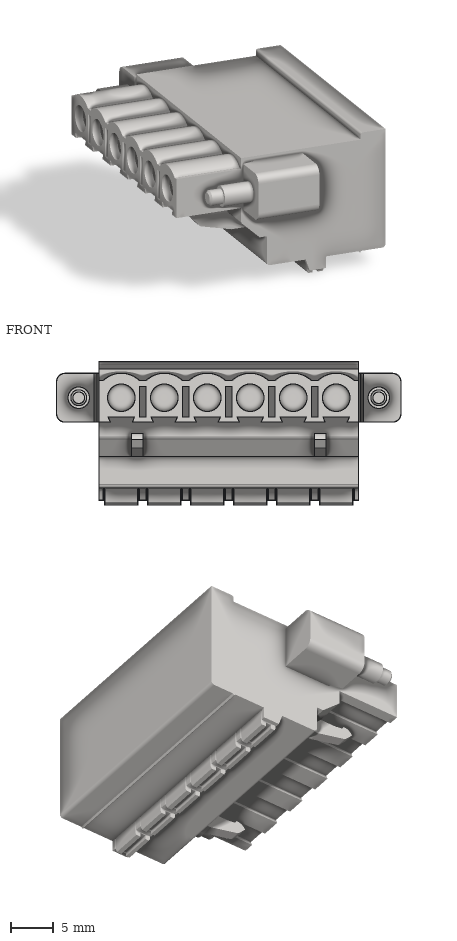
import cadquery as cq


pole_count = 6
pole_pitch = 5.0
pole_xs = [(i - (pole_count - 1) / 2) * pole_pitch for i in range(pole_count)]
gap_xs = [(i - pole_count / 2) * pole_pitch for i in range(1, pole_count)]

half_width = 15.1
back_y = 18.35
top_z = 3.35
lip_top_z = 4.2
total_height = 16.7
lip_front_y = 15.2
lip_round = 0.25
bottom_z = -10.5
lower_front_y = 3.25
ledge_z = -6.85
slope_top_z = -4.7
slope_back_y = 2.35
bottom_round = 0.4
slope_round = 0.3
bead_y = 15.1
bead_height = 0.2

plug_length = 8.25
plug_half_height = 2.85
saddle_z = 2.0
arch_half_width = 2.12
hole_diameter = 3.2
hole_depth = 1.0
slot_width = 0.8
slot_top_z = 1.3
recess_z = -2.25
notch_top_width = 3.05
notch_bottom_width = 2.55

flange_outer_x = 20.05
flange_length = 7.75
flange_round = 1.0
relief_front_x = 15.7
relief_back_x = 15.35
relief_taper_y = 1.4
relief_end_y = 1.6
screw_x = 17.45
shank_diameter = 2.5
shank_length = 3.65
tip_diameter = 1.85
tip_end = 5.35
tip_chamfer = 0.25

latch_x = 10.65
latch_width = 1.35
latch_top_z = -4.65
latch_taper_y = 0.4
latch_bend = (-2.1, latch_top_z)
hook_foot = (-3.1, -4.5)
hook_top = (-3.3, -4.17)
hook_crown = (-4.0, -4.33)
hook_tip = (-4.5, -4.87)
hook_underside = (-3.55, -5.88)
hook_underside_round = 0.4

foot_width = 3.87
foot_front_y = 8.7
foot_back_y = 10.8
foot_base_z = -11.95
foot_bottom_z = lip_top_z - total_height
foot_chamfer_height = 0.25
foot_chamfer_depth = 0.15
front_toe_width = 0.65
back_toe_width = 0.75
rib_front_y = 8.2
rib_clearance = 0.15
overlap = 0.2


def side_extrusion(points, x_start, x_end):
    """Extrude a (Y, Z) outline from x_start to x_end."""
    return cq.Workplane("YZ", origin=(x_start, 0, 0)).polyline(points).close().extrude(x_end - x_start)


def front_cylinder(x, diameter, y_front, y_back):
    """Cylinder along Y on the pole axis level."""
    plane = cq.Workplane("XZ", origin=(x, y_back, 0))
    return plane.circle(diameter / 2).extrude(y_back - y_front)


def make_housing():
    outline = [
        (0, top_z),
        (0, slope_top_z),
        (slope_back_y, ledge_z),
        (lower_front_y, ledge_z),
        (lower_front_y, bottom_z),
        (back_y, bottom_z),
        (back_y, lip_top_z),
        (lip_front_y, lip_top_z),
        (lip_front_y, top_z),
    ]
    housing = side_extrusion(outline, -half_width, half_width)
    rounded_edges = [
        (lip_front_y, lip_top_z, lip_round),
        (0, slope_top_z, slope_round),
        (lower_front_y, bottom_z, bottom_round),
        (back_y, bottom_z, bottom_round),
    ]
    for y, z, radius in rounded_edges:
        edge = cq.selectors.NearestToPointSelector((0, y, z))
        housing = housing.edges(edge).fillet(radius)
    bead = [
        (bead_y - bead_height, bottom_z),
        (bead_y, bottom_z - bead_height),
        (bead_y + bead_height, bottom_z),
        (bead_y, bottom_z + bead_height),
    ]
    return housing.union(side_extrusion(bead, -half_width, half_width))


def make_plug():
    """Pole row with an arch, a blind hole and a dovetail notch per pole."""
    outline = cq.Workplane("XZ", origin=(0, overlap, 0))
    outline = outline.moveTo(-half_width, -plug_half_height).lineTo(-half_width, saddle_z)
    for x in pole_xs:
        outline = outline.lineTo(x - arch_half_width, saddle_z)
        outline = outline.threePointArc((x, plug_half_height), (x + arch_half_width, saddle_z))
    outline = outline.lineTo(half_width, saddle_z).lineTo(half_width, -plug_half_height).close()
    plug = outline.extrude(plug_length + overlap)

    for x in pole_xs:
        plug = plug.cut(front_cylinder(x, hole_diameter, -plug_length, hole_depth - plug_length))
        notch = [
            (x - notch_top_width / 2, recess_z),
            (x + notch_top_width / 2, recess_z),
            (x + notch_bottom_width / 2, -plug_half_height),
            (x - notch_bottom_width / 2, -plug_half_height),
        ]
        plug = plug.cut(cq.Workplane("XZ").polyline(notch).close().extrude(plug_length))

    slot_height = slot_top_z - recess_z
    for x in gap_xs:
        slot_plane = cq.Workplane("XZ", origin=(x, 0, recess_z + slot_height / 2))
        plug = plug.cut(slot_plane.rect(slot_width, slot_height).extrude(plug_length))
    return plug


def make_flange():
    """Flange and captive screw on the +X end."""
    outline = [
        (half_width - overlap, flange_length),
        (flange_outer_x, flange_length),
        (flange_outer_x, 0),
        (relief_front_x, 0),
        (relief_back_x, relief_taper_y),
        (half_width, relief_end_y),
        (half_width - overlap, relief_end_y),
    ]
    plane = cq.Workplane("XY", origin=(0, 0, -plug_half_height))
    flange = plane.polyline(outline).close().extrude(2 * plug_half_height)
    flange = flange.faces(">X").edges("|Y").fillet(flange_round)
    shank = front_cylinder(screw_x, shank_diameter, -shank_length, overlap)
    tip = front_cylinder(screw_x, tip_diameter, -tip_end, overlap)
    tip = tip.faces("<Y").chamfer(tip_chamfer)
    return flange.union(shank).union(tip)


def make_latch(x):
    """Arm reaching forward from the sloped underside to a round-backed hook."""
    root_y = slope_back_y + overlap
    arm = cq.Workplane("YZ", origin=(x - latch_width / 2, 0, 0))
    arm = arm.moveTo(root_y, ledge_z).lineTo(root_y, latch_top_z).lineTo(*latch_bend)
    arm = arm.lineTo(*hook_foot).lineTo(*hook_top)
    arm = arm.threePointArc(hook_crown, hook_tip)
    arm = arm.lineTo(*hook_underside).lineTo(latch_taper_y, ledge_z).close()
    arm = arm.extrude(latch_width)
    underside_edge = cq.selectors.NearestToPointSelector((x, *hook_underside))
    return arm.edges(underside_edge).fillet(hook_underside_round)


def make_foot(x):
    """Block with two chamfered toes under one pole."""
    outline = [
        (foot_front_y, bottom_z + overlap),
        (foot_front_y, foot_bottom_z + foot_chamfer_height),
        (foot_front_y + foot_chamfer_depth, foot_bottom_z),
        (foot_front_y + front_toe_width, foot_bottom_z),
        (foot_front_y + front_toe_width, foot_base_z),
        (foot_back_y - back_toe_width, foot_base_z),
        (foot_back_y - back_toe_width, foot_bottom_z),
        (foot_back_y - foot_chamfer_depth, foot_bottom_z),
        (foot_back_y, foot_bottom_z + foot_chamfer_height),
        (foot_back_y, bottom_z + overlap),
    ]
    return side_extrusion(outline, x - foot_width / 2, x + foot_width / 2)


def make_rib(x_start, x_end):
    """Sloped rib between two feet, or at an end of the row."""
    outline = [
        (rib_front_y, bottom_z),
        (foot_front_y, foot_base_z),
        (foot_back_y, foot_base_z),
        (foot_back_y, bottom_z + overlap),
        (rib_front_y, bottom_z + overlap),
    ]
    return side_extrusion(outline, x_start, x_end)


result = make_housing().union(make_plug())

right_flange = make_flange()
result = result.union(right_flange).union(right_flange.mirror("YZ"))

for latch_center_x in (-latch_x, latch_x):
    result = result.union(make_latch(latch_center_x))

for pole_x in pole_xs:
    result = result.union(make_foot(pole_x))

rib_half_width = (pole_pitch - foot_width) / 2 - rib_clearance
for gap_x in gap_xs:
    result = result.union(make_rib(gap_x - rib_half_width, gap_x + rib_half_width))

end_rib_inner_x = pole_xs[-1] + foot_width / 2 + rib_clearance
result = result.union(make_rib(end_rib_inner_x, half_width))
result = result.union(make_rib(-half_width, -end_rib_inner_x))